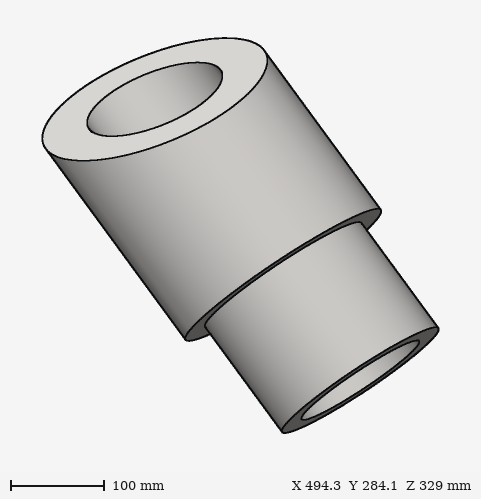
import cadquery as cq
import math

body_diameter = 250.0
spigot_diameter = 200.0
bore_diameter = 150.0

shoulder_distance = 233.0
end_distance = 373.0

axis_dip = 23.8
axis_yaw = 10.0
face_swing = 2.8
face_tilt = 37.7

mitre_angle = 90 - axis_dip - face_tilt
mitre_reach = body_diameter / 2 * math.tan(math.radians(mitre_angle))



def trimmed_cylinder(diameter, face_distance):
    """Cylinder along +X, started behind the mitre and ended by a slightly swung face."""
    radius = diameter / 2
    face_overrun = radius * math.tan(math.radians(face_swing))
    start = -mitre_reach
    cylinder = (
        cq.Workplane("YZ", origin=(start, 0, 0))
        .circle(radius)
        .extrude(face_distance + face_overrun - start)
    )
    plan_outline = (
        cq.Workplane("XY")
        .moveTo(start, -radius)
        .lineTo(face_distance - face_overrun, -radius)
        .lineTo(face_distance + face_overrun, radius)
        .lineTo(start, radius)
        .close()
        .extrude(radius, both=True)
    )
    return cylinder.intersect(plan_outline)


def make_mitre_waste():
    """Wedge of material lying beyond the sloping mitred face."""
    radius = body_diameter / 2
    return (
        cq.Workplane("XZ")
        .moveTo(-mitre_reach, -radius)
        .lineTo(mitre_reach, radius)
        .lineTo(-mitre_reach, radius)
        .close()
        .extrude(radius, both=True)
    )


def make_bore():
    """Straight hole through the whole part."""
    return (
        cq.Workplane("YZ", origin=(-mitre_reach, 0, 0))
        .circle(bore_diameter / 2)
        .extrude(end_distance + body_diameter)
    )


body = trimmed_cylinder(body_diameter, shoulder_distance)
spigot = trimmed_cylinder(spigot_diameter, end_distance)
straight_part = body.union(spigot).cut(make_mitre_waste()).cut(make_bore())

result = (
    straight_part
    .rotate((0, 0, 0), (0, 1, 0), axis_dip)
    .rotate((0, 0, 0), (0, 0, 1), -axis_yaw)
)